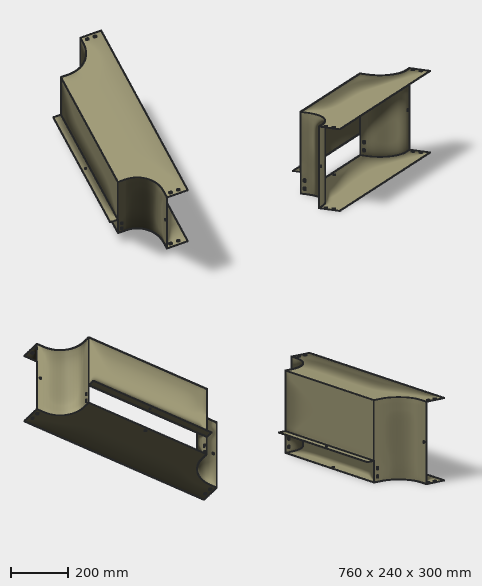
import cadquery as cq
import math

length = 760.0
height = 300.0
sheet = 1.0

arm_depth = 80.0
branch_width = 500.0
tab = 30.0
bend_radius = (length - branch_width) / 2 - tab
body_depth = arm_depth + bend_radius + tab

flange_top = 80.0
panel_bottom = flange_top - sheet

slot_length = 10.0
slot_width = 7.0
slot_spacing = 30.0
wall_slot_first_height = 20.0
arm_slot_first_y = -30.0
screw_hole_diameter = 7.0
flange_hole_diameter = 5.0
hole_inset = tab / 2

half_length = length / 2
half_branch = branch_width / 2
front = -body_depth
hole_x = half_length - hole_inset
mouth_hole_y = front + hole_inset


def plan_outline(inset):
    """Closed T outline, with the arm fronts, bends and branch sides moved inwards by inset."""
    radius = bend_radius + inset
    arm_front = -arm_depth + inset
    branch_side = half_branch - inset
    bend_end = half_length - tab
    bend_center_y = arm_front - radius
    middle_offset = radius * math.sqrt(0.5)
    middle_x = bend_end - middle_offset
    middle_y = bend_center_y + middle_offset
    return (
        cq.Workplane("XY")
        .moveTo(-half_length, 0)
        .lineTo(half_length, 0)
        .lineTo(half_length, arm_front)
        .lineTo(bend_end, arm_front)
        .threePointArc((middle_x, middle_y), (branch_side, bend_center_y))
        .lineTo(branch_side, front)
        .lineTo(-branch_side, front)
        .lineTo(-branch_side, bend_center_y)
        .threePointArc((-middle_x, middle_y), (-bend_end, arm_front))
        .lineTo(-half_length, arm_front)
        .close()
    )


def duct_shell():
    """Top and bottom plates joined by the two bent side walls; back, arm ends and mouth are open."""
    outer = plan_outline(0).extrude(height)
    cavity = plan_outline(sheet).extrude(height - 2 * sheet).translate((0, 0, sheet))
    return outer.cut(cavity)


def front_panel():
    """Upright panel on the front of the mouth, with an outward flange along its lower edge."""
    panel = cq.Workplane("XY").box(
        branch_width, sheet, height - panel_bottom, centered=(True, False, False)
    )
    flange = cq.Workplane("XY").box(branch_width, tab, sheet, centered=(True, False, False))
    panel = panel.translate((0, front - sheet, panel_bottom))
    flange = flange.translate((0, front - tab, panel_bottom))
    return panel.union(flange)


def flattened_round_cutters(plane, places, depth, both=False):
    """Round cutters flattened on two sides, left long in the plane's second direction."""
    centers = cq.Workplane(plane).pushPoints(places)
    rounds = centers.circle(slot_length / 2).extrude(depth, both=both)
    flats = centers.rect(slot_width, slot_length).extrude(depth, both=both)
    return rounds.intersect(flats)


def arm_slots():
    """Slots through both plates near the arm ends, long in Y."""
    places = [
        (x, arm_slot_first_y - row * slot_spacing)
        for x in (-hole_x, hole_x)
        for row in range(2)
    ]
    return flattened_round_cutters("XY", places, height)


def branch_slots():
    """Upright slots through both side walls near the branch mouth."""
    places = [(mouth_hole_y, wall_slot_first_height + row * slot_spacing) for row in range(2)]
    return flattened_round_cutters("YZ", places, half_length, both=True)


def arm_wall_holes():
    """Round hole at mid-height of the straight wall at each arm end."""
    return (
        cq.Workplane("XZ")
        .pushPoints([(-hole_x, height / 2), (hole_x, height / 2)])
        .circle(screw_hole_diameter / 2)
        .extrude(body_depth)
    )


def bottom_plate_hole():
    """Round hole at the middle of the bottom plate's front edge."""
    return cq.Workplane("XY").center(0, mouth_hole_y).circle(screw_hole_diameter / 2).extrude(sheet)


def flange_hole():
    """Small round hole at the middle of the flange."""
    return (
        cq.Workplane("XY")
        .center(0, front - hole_inset)
        .circle(flange_hole_diameter / 2)
        .extrude(flange_top)
    )


result = duct_shell().union(front_panel())
for holes in (arm_slots(), branch_slots(), arm_wall_holes(), bottom_plate_hole(), flange_hole()):
    result = result.cut(holes)